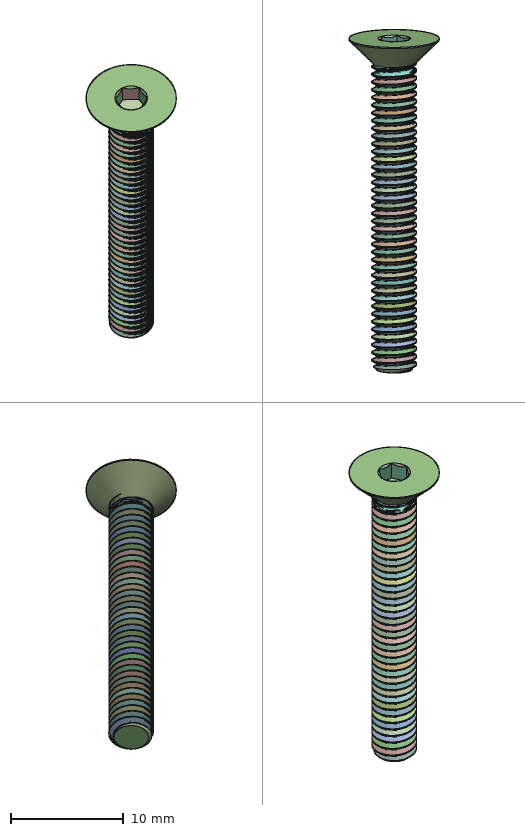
import cadquery as cq
import math

LENGTH = 30.0
HEAD_DIAMETER = 8.0
RIM_HEIGHT = 0.12

CREST_DIAMETER = 4.0
ROOT_DIAMETER = 3.1
PITCH = 2.1 / 3
FLAT_SHARE = 1 / 8
GROOVE_ANGLE = -126
CONE_OVERLAP = 0.1
THREAD_OVERLAP = 0.15
HEAD_TURNS = 1
FLANK_STEPS = 16

SOCKET_FLATS = 2.5
SOCKET_DEPTH = 1.6
LEAD_IN_DEPTH = 0.18

HEAD_RADIUS = HEAD_DIAMETER / 2
CREST_RADIUS = CREST_DIAMETER / 2
ROOT_RADIUS = ROOT_DIAMETER / 2
CONE_HEIGHT = HEAD_RADIUS - CREST_RADIUS
NECK_Z = LENGTH - RIM_HEIGHT - CONE_HEIGHT
SOCKET_CORNERS = SOCKET_FLATS / math.cos(math.pi / 6)


def turned(outline):
    """Solid of revolution about Z from a list of (radius, z) points."""
    return cq.Workplane("XZ").polyline(outline).close().revolve(360, (0, 0, 0), (0, 1, 0))


def polar(radius, angle):
    return (radius * math.cos(angle), radius * math.sin(angle))


def flank(start_radius, end_radius, start_angle, end_angle):
    """Points of a spiral whose radius changes evenly with angle, start point left out."""
    points = []
    for step in range(1, FLANK_STEPS + 1):
        share = step / FLANK_STEPS
        radius = start_radius + share * (end_radius - start_radius)
        points.append(polar(radius, start_angle + share * (end_angle - start_angle)))
    return points


def threaded_rod(bottom, top):
    """Threaded rod between two heights: the level cross-section, twisted one turn per pitch."""
    root_end = math.pi * FLAT_SHARE
    crest_start = math.pi * (1 - FLAT_SHARE)
    section = (
        cq.Workplane("XY")
        .moveTo(*polar(CREST_RADIUS, -crest_start))
        .spline(flank(CREST_RADIUS, ROOT_RADIUS, -crest_start, -root_end), includeCurrent=True)
        .threePointArc((ROOT_RADIUS, 0), polar(ROOT_RADIUS, root_end))
        .spline(flank(ROOT_RADIUS, CREST_RADIUS, root_end, crest_start), includeCurrent=True)
        .threePointArc((-CREST_RADIUS, 0), polar(CREST_RADIUS, -crest_start))
        .close()
    )
    height = top - bottom
    rod = section.twistExtrude(height, 360 * height / PITCH)
    start_angle = GROOVE_ANGLE + 360 * bottom / PITCH
    return rod.rotate((0, 0, 0), (0, 0, 1), start_angle).translate((0, 0, bottom))


def make_tip(top):
    """First turn of thread, with a 45 degree chamfer down to the root diameter."""
    chamfer = turned([
        (0, 0),
        (ROOT_RADIUS, 0),
        (ROOT_RADIUS + top, top),
        (0, top),
    ])
    return threaded_rod(0, top).intersect(chamfer)


def make_head(bottom):
    """Thin-rimmed head whose cone runs down to the thread root, on the last turns of thread."""
    buried_radius = ROOT_RADIUS - CONE_OVERLAP
    cone_bottom = NECK_Z - (CREST_RADIUS - buried_radius)
    head = turned([
        (0, cone_bottom),
        (buried_radius, cone_bottom),
        (HEAD_RADIUS, LENGTH - RIM_HEIGHT),
        (HEAD_RADIUS, LENGTH),
        (0, LENGTH),
    ])
    thread_end = threaded_rod(bottom, NECK_Z + THREAD_OVERLAP)
    return head.union(thread_end).cut(make_socket())


def make_socket():
    """Hexagonal pocket, flats facing +X and -X, with a conical lead-in reaching its corners."""
    hexagon = (
        cq.Workplane("XY", origin=(0, 0, LENGTH - SOCKET_DEPTH))
        .polygon(6, SOCKET_CORNERS)
        .extrude(SOCKET_DEPTH)
        .rotate((0, 0, 0), (0, 0, 1), 30)
    )
    lead_in = turned([
        (0, LENGTH - LEAD_IN_DEPTH),
        (SOCKET_FLATS / 2, LENGTH - LEAD_IN_DEPTH),
        (SOCKET_CORNERS / 2, LENGTH),
        (0, LENGTH),
    ])
    return hexagon.union(lead_in)


def outer_faces(part, selector):
    """Faces that stay exposed, without the flat faces where the part meets its neighbour."""
    return part.faces(selector).vals()


shank_bottom = PITCH
shank_turns = math.floor((NECK_Z - shank_bottom) / PITCH) - HEAD_TURNS
shank_top = shank_bottom + shank_turns * PITCH

skin = outer_faces(make_tip(shank_bottom), "not >Z")
turn_faces = outer_faces(threaded_rod(shank_bottom, shank_bottom + PITCH), "not %PLANE")
for index in range(shank_turns):
    climb = cq.Vector(0, 0, index * PITCH)
    skin += [face.translate(climb) for face in turn_faces]
skin += outer_faces(make_head(shank_top), "not <Z")

result = cq.Workplane(cq.Solid.makeSolid(cq.Shell.makeShell(skin)))